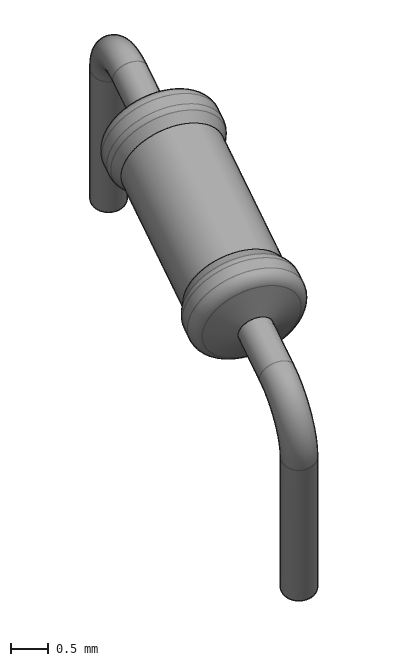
import cadquery as cq
import math


wire_diameter = 0.5
lead_pitch = 7.0
bend_radius = 0.8
lead_drop = 3.59

barrel_diameter = 1.47
cap_diameter = 1.68
cap_corner_radius = 0.2
end_cone_angle = 72.0
neck_cone_angle = 27.5
cap_outer_x = 1.572
cap_inner_x = 1.387

wire_radius = wire_diameter / 2
barrel_radius = barrel_diameter / 2
cap_radius = cap_diameter / 2


def arc_point(band_edge_x, angle, direction):
    """Point on a cap shoulder arc, turned by angle (degrees) from the top of the cap."""
    turn = math.radians(angle)
    x = band_edge_x + direction * cap_corner_radius * math.sin(turn)
    radius = cap_radius - cap_corner_radius * (1 - math.cos(turn))
    return (x, radius)


def mirrored(point):
    """Same profile point on the opposite (-X) cap."""
    x, radius = point
    return (-x, radius)


def make_body():
    """Barrel with two bulged end caps, revolved about the X axis."""
    outer_mid = arc_point(cap_outer_x, end_cone_angle / 2, 1)
    outer_end = arc_point(cap_outer_x, end_cone_angle, 1)
    end_rise = outer_end[1] - wire_radius
    end_x = outer_end[0] + end_rise / math.tan(math.radians(end_cone_angle))
    inner_mid = arc_point(cap_inner_x, neck_cone_angle / 2, -1)
    inner_end = arc_point(cap_inner_x, neck_cone_angle, -1)
    neck_drop = inner_end[1] - barrel_radius
    barrel_end_x = inner_end[0] - neck_drop / math.tan(math.radians(neck_cone_angle))

    profile = (
        cq.Workplane("XY")
        .moveTo(-end_x, 0)
        .lineTo(-end_x, wire_radius)
        .lineTo(*mirrored(outer_end))
        .threePointArc(mirrored(outer_mid), (-cap_outer_x, cap_radius))
        .lineTo(-cap_inner_x, cap_radius)
        .threePointArc(mirrored(inner_mid), mirrored(inner_end))
        .lineTo(-barrel_end_x, barrel_radius)
        .lineTo(barrel_end_x, barrel_radius)
        .lineTo(*inner_end)
        .threePointArc(inner_mid, (cap_inner_x, cap_radius))
        .lineTo(cap_outer_x, cap_radius)
        .threePointArc(outer_mid, outer_end)
        .lineTo(end_x, wire_radius)
        .lineTo(end_x, 0)
        .close()
    )
    return profile.revolve(360, (0, 0, 0), (1, 0, 0))


def make_wire():
    """Round wire through the body, bent down at both ends."""
    lead_x = lead_pitch / 2
    bend_start_x = lead_x - bend_radius
    bend_mid_x = bend_start_x + bend_radius * math.sin(math.pi / 4)
    bend_mid_z = -bend_radius * (1 - math.cos(math.pi / 4))

    path = (
        cq.Workplane("XZ")
        .moveTo(-lead_x, -lead_drop)
        .lineTo(-lead_x, -bend_radius)
        .threePointArc((-bend_mid_x, bend_mid_z), (-bend_start_x, 0))
        .lineTo(bend_start_x, 0)
        .threePointArc((bend_mid_x, bend_mid_z), (lead_x, -bend_radius))
        .lineTo(lead_x, -lead_drop)
    )
    tip = cq.Workplane("XY", origin=(-lead_x, 0, -lead_drop))
    return tip.circle(wire_radius).sweep(path)


result = make_body().union(make_wire())